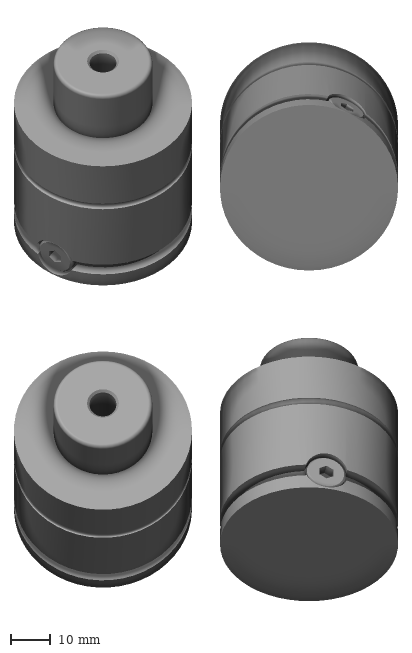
import cadquery as cq
import math

total_height = 58.0
body_diameter = 45.0
shoulder_height = 43.0
rod_diameter = 25.0
rod_edge_radius = 1.0

clip_groove_bottom = 4.0
clip_groove_top = 7.5
clip_groove_diameter = 40.0
ring_groove_height = 28.5
ring_groove_radius = 1.0

hole_diameter = 6.8
hole_mouth_diameter = 8.0
hole_depth = 13.9
drill_point_angle = 118.0

port_height = 6.0
port_diameter = 11.0
port_floor_y = -19.15
plug_diameter = 10.0
plug_face_y = -21.8
plug_chamfer = 0.45
plug_embedment = 0.6
hex_across_flats = 3.6
hex_depth = 2.9

body_radius = body_diameter / 2


def cylinder(diameter, bottom, top):
    """Upright cylinder on the Z axis between two heights."""
    return cq.Workplane("XY").workplane(offset=bottom).circle(diameter / 2).extrude(top - bottom)


def port_plane(y):
    """Plane across the port axis at the given Y, with its normal pointing outward (-Y)."""
    return cq.Workplane("XZ", origin=(0, y, port_height))


def make_body():
    body = cylinder(body_diameter, 0, shoulder_height)
    rod = cylinder(rod_diameter, shoulder_height, total_height)
    rod = rod.faces(">Z").edges().fillet(rod_edge_radius)
    return body.union(rod)


def clip_groove():
    groove = cylinder(body_diameter, clip_groove_bottom, clip_groove_top)
    return groove.cut(cylinder(clip_groove_diameter, clip_groove_bottom, clip_groove_top))


def ring_groove():
    """Half-round groove whose section is centred on the body surface."""
    return cq.Workplane("XY").add(
        cq.Solid.makeTorus(body_radius, ring_groove_radius, cq.Vector(0, 0, ring_groove_height))
    )


def rod_hole():
    """Blind drilled hole with a conical bottom and a 45 degree mouth."""
    radius = hole_diameter / 2
    mouth_radius = hole_mouth_diameter / 2
    floor = total_height - hole_depth
    point_depth = radius / math.tan(math.radians(drill_point_angle / 2))
    return (
        cq.Workplane("XZ")
        .moveTo(0, floor - point_depth)
        .lineTo(radius, floor)
        .lineTo(radius, total_height - (mouth_radius - radius))
        .lineTo(mouth_radius, total_height)
        .lineTo(0, total_height)
        .close()
        .revolve(360, (0, 0, 0), (0, 1, 0))
    )


def port_bore():
    return port_plane(port_floor_y).circle(port_diameter / 2).extrude(body_radius + port_floor_y)


def port_plug():
    """Chamfered plug with a hexagon socket whose corners point up and down."""
    root_y = port_floor_y + plug_embedment
    plug = port_plane(root_y).circle(plug_diameter / 2).extrude(root_y - plug_face_y)
    return plug.faces("<Y").edges().chamfer(plug_chamfer)


def hex_socket():
    corner_diameter = hex_across_flats / math.cos(math.radians(30))
    socket = port_plane(plug_face_y).polygon(6, corner_diameter).extrude(-hex_depth)
    return socket.rotate((0, 0, port_height), (0, 1, port_height), 30)


result = make_body().cut(clip_groove()).cut(ring_groove()).cut(rod_hole())
result = result.cut(port_bore()).union(port_plug()).cut(hex_socket())